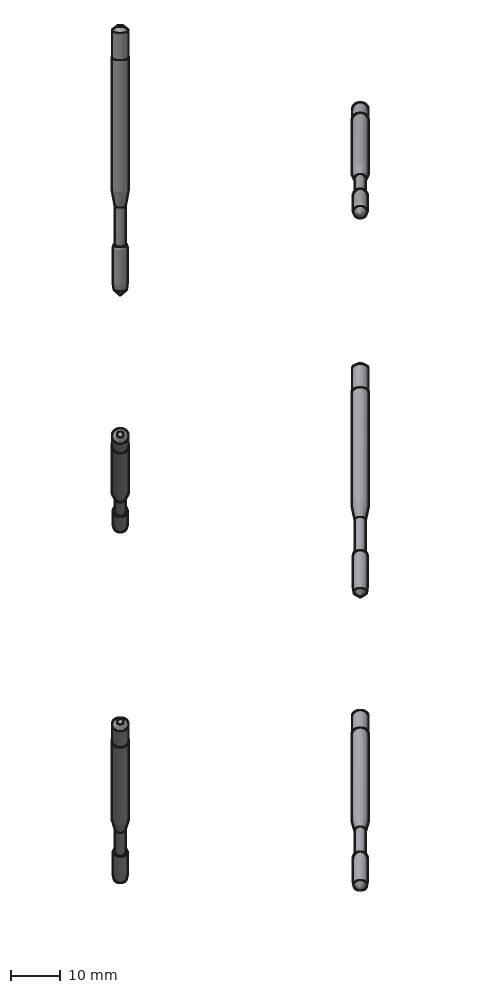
import cadquery as cq

total_length = 56.95

barrel_diameter = 3.5
tail_diameter = 3.35
crown_flat_diameter = 1.3
nose_diameter = 2.3
crown_height = 0.9
tail_shoulder_z = 50.3
nose_top_z = 22.4
nose_bottom_z = 18.95

stem_diameter = 2.3
head_diameter = 3.1
head_top_diameter = 2.4
head_rim_diameter = 2.75
point_diameter = 2.75
head_top_z = 10.75
head_rim_z = 10.65
head_bevel_bottom_z = 10.0
head_taper_top_z = 2.7
point_height = point_diameter / 2


def turned_solid(stations):
    """Revolve (diameter, z) stations about Z, closing the profile along the axis."""
    outline = [(diameter / 2, z) for diameter, z in stations]
    axis_start = (0, outline[0][1])
    axis_end = (0, outline[-1][1])
    profile = cq.Workplane("XZ").moveTo(*axis_start)
    for point in outline:
        if point != axis_start:
            profile = profile.lineTo(*point)
    return profile.lineTo(*axis_end).close().revolve(360, (0, 0, 0), (0, 1, 0))


def make_barrel():
    """Solid barrel with a tapered nose below and a narrower, crowned tail above."""
    return turned_solid([
        (nose_diameter, nose_bottom_z),
        (barrel_diameter, nose_top_z),
        (barrel_diameter, tail_shoulder_z),
        (tail_diameter, tail_shoulder_z),
        (tail_diameter, total_length - crown_height),
        (crown_flat_diameter, total_length),
    ])


def make_plunger():
    """Pointed, bevelled head on a stem that butts against the barrel nose."""
    return turned_solid([
        (0, 0),
        (point_diameter, point_height),
        (head_diameter, head_taper_top_z),
        (head_diameter, head_bevel_bottom_z),
        (head_rim_diameter, head_rim_z),
        (head_top_diameter, head_top_z),
        (stem_diameter, head_top_z),
        (stem_diameter, nose_bottom_z),
    ])


barrel = make_barrel()
plunger = make_plunger()

result = cq.Compound.makeCompound([barrel.val(), plunger.val()])